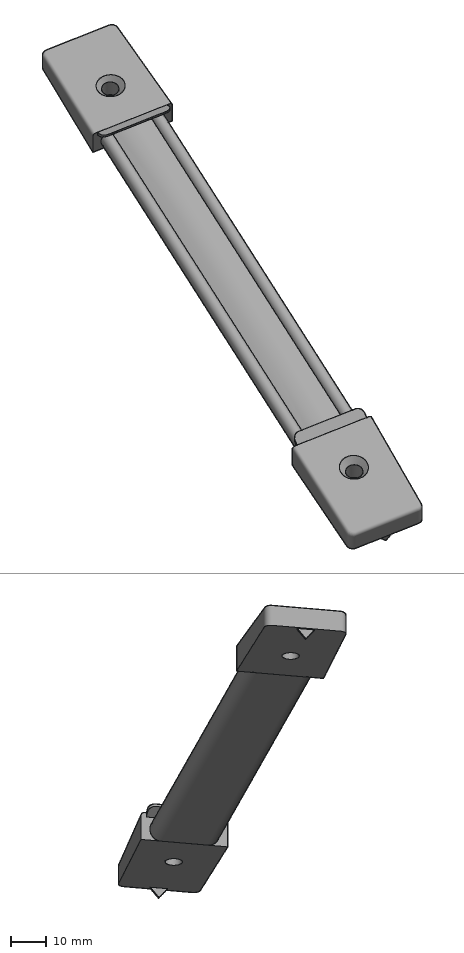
import cadquery as cq
import math

LENGTH = 197.0
HALF_LENGTH = LENGTH / 2

CAP_INNER_X = 63.5
CAP_INNER_WIDTH = 25.5
CAP_OUTER_WIDTH = 23.8
CAP_INNER_HEIGHT = 8.5
CAP_OUTER_HEIGHT = 6.5
CAP_CORNER_RADIUS = 2.0
CAP_EDGE_RADIUS = 1.0

LIP_REACH = 3.2
LIP_TOP = 10.0
LIP_ROOT_THICKNESS = 1.4
LIP_TIP_THICKNESS = 0.8
LIP_WIDTH = 22.3
LIP_CORNER_RADIUS = 2.0

HOLE_X = 77.6
HOLE_DIAMETER = 5.0
COUNTERSINK_DIAMETER = 8.3
COUNTERSINK_ANGLE = 90
CUT_CLEARANCE = 1.0

SPIKE_X = 97.5
SPIKE_THICKNESS = 0.5
SPIKE_WIDTH = 5.1
SPIKE_LENGTH = 3.0

STRAP_WIDTH = 20.0
STRAP_HEIGHT = 6.0
BEAD_RADIUS = 2.0
LOWER_RADIUS = 3.2
CROWN_WIDTH = 12.5


def make_cap_block():
    """Tapered block of the -X cap, with rounded outer corners and upper edges."""
    plan = (
        cq.Workplane("XY")
        .polyline([
            (-HALF_LENGTH, -CAP_OUTER_WIDTH / 2),
            (-CAP_INNER_X, -CAP_INNER_WIDTH / 2),
            (-CAP_INNER_X, CAP_INNER_WIDTH / 2),
            (-HALF_LENGTH, CAP_OUTER_WIDTH / 2),
        ])
        .close()
        .extrude(CAP_INNER_HEIGHT)
        .edges("|Z and <X")
        .fillet(CAP_CORNER_RADIUS)
    )
    side = (
        cq.Workplane("XZ")
        .polyline([
            (-HALF_LENGTH, 0),
            (-CAP_INNER_X, 0),
            (-CAP_INNER_X, CAP_INNER_HEIGHT),
            (-HALF_LENGTH, CAP_OUTER_HEIGHT),
        ])
        .close()
        .extrude(CAP_INNER_WIDTH / 2, both=True)
    )
    block = plan.intersect(side)
    return block.faces(">Z").edges("not >X").fillet(CAP_EDGE_RADIUS)


def make_lip():
    """Sloping lip with a rounded outline at its free end."""
    tip_x = LIP_REACH - CAP_INNER_X
    slope = (
        cq.Workplane("XZ")
        .polyline([
            (-CAP_INNER_X, CAP_INNER_HEIGHT),
            (tip_x, LIP_TOP),
            (tip_x, LIP_TOP - LIP_TIP_THICKNESS),
            (-CAP_INNER_X, CAP_INNER_HEIGHT - LIP_ROOT_THICKNESS),
        ])
        .close()
        .extrude(LIP_WIDTH / 2, both=True)
    )
    outline = (
        cq.Workplane("XY")
        .center(-CAP_INNER_X, 0)
        .rect(2 * LIP_REACH, LIP_WIDTH)
        .extrude(LIP_TOP)
        .edges("|Z")
        .fillet(LIP_CORNER_RADIUS)
    )
    return slope.intersect(outline)


def make_screw_hole():
    """Cutting shape of the vertical hole and its conical countersink."""
    top_slope = (CAP_INNER_HEIGHT - CAP_OUTER_HEIGHT) / (HALF_LENGTH - CAP_INNER_X)
    rim_z = CAP_INNER_HEIGHT - top_slope * (HOLE_X - CAP_INNER_X)
    cone_slope = math.tan(math.radians(COUNTERSINK_ANGLE / 2))
    cone_depth = (COUNTERSINK_DIAMETER - HOLE_DIAMETER) / 2 / cone_slope
    cutter_top = rim_z + CUT_CLEARANCE
    return (
        cq.Workplane("XZ")
        .polyline([
            (0, 0),
            (HOLE_DIAMETER / 2, 0),
            (HOLE_DIAMETER / 2, rim_z - cone_depth),
            (COUNTERSINK_DIAMETER / 2 + CUT_CLEARANCE * cone_slope, cutter_top),
            (0, cutter_top),
        ])
        .close()
        .revolve(360, (0, 0), (0, 1))
        .translate((-HOLE_X, 0, 0))
    )


def make_spike():
    """Thin triangular plate pointing down."""
    return (
        cq.Workplane("YZ")
        .polyline([(-SPIKE_WIDTH / 2, 0), (0, -SPIKE_LENGTH), (SPIKE_WIDTH / 2, 0)])
        .close()
        .extrude(SPIKE_THICKNESS / 2, both=True)
        .translate((-SPIKE_X, 0, 0))
    )


def make_caps():
    """The -X cap and its mirror image at the +X end."""
    cap = make_cap_block().cut(make_screw_hole()).union(make_lip()).union(make_spike())
    caps = []
    for at_far_end in (False, True):
        placed = cap.mirror("YZ") if at_far_end else cap
        caps.append(placed.solids().val())
    return caps


def make_strap():
    """Constant section between the inner faces of the two caps."""
    half_width = STRAP_WIDTH / 2
    bead_y = half_width - BEAD_RADIUS
    bead_z = STRAP_HEIGHT - BEAD_RADIUS
    crease_y = CROWN_WIDTH / 2
    crease_z = bead_z + math.sqrt(BEAD_RADIUS**2 - (bead_y - crease_y) ** 2)
    corner_y = half_width - LOWER_RADIUS
    arc_inset = LOWER_RADIUS * (1 - math.sqrt(1 / 2))
    return (
        cq.Workplane("YZ")
        .moveTo(-corner_y, 0)
        .lineTo(corner_y, 0)
        .threePointArc((half_width - arc_inset, arc_inset), (half_width, LOWER_RADIUS))
        .lineTo(half_width, bead_z)
        .threePointArc((bead_y, STRAP_HEIGHT), (crease_y, crease_z))
        .spline([(0, STRAP_HEIGHT), (-crease_y, crease_z)], includeCurrent=True)
        .threePointArc((-bead_y, STRAP_HEIGHT), (-half_width, bead_z))
        .lineTo(-half_width, LOWER_RADIUS)
        .threePointArc((arc_inset - half_width, arc_inset), (-corner_y, 0))
        .close()
        .extrude(2 * CAP_INNER_X)
        .translate((-CAP_INNER_X, 0, 0))
    )


caps = make_caps()
strap = make_strap()
result = cq.Compound.makeCompound([*caps, strap.val()])